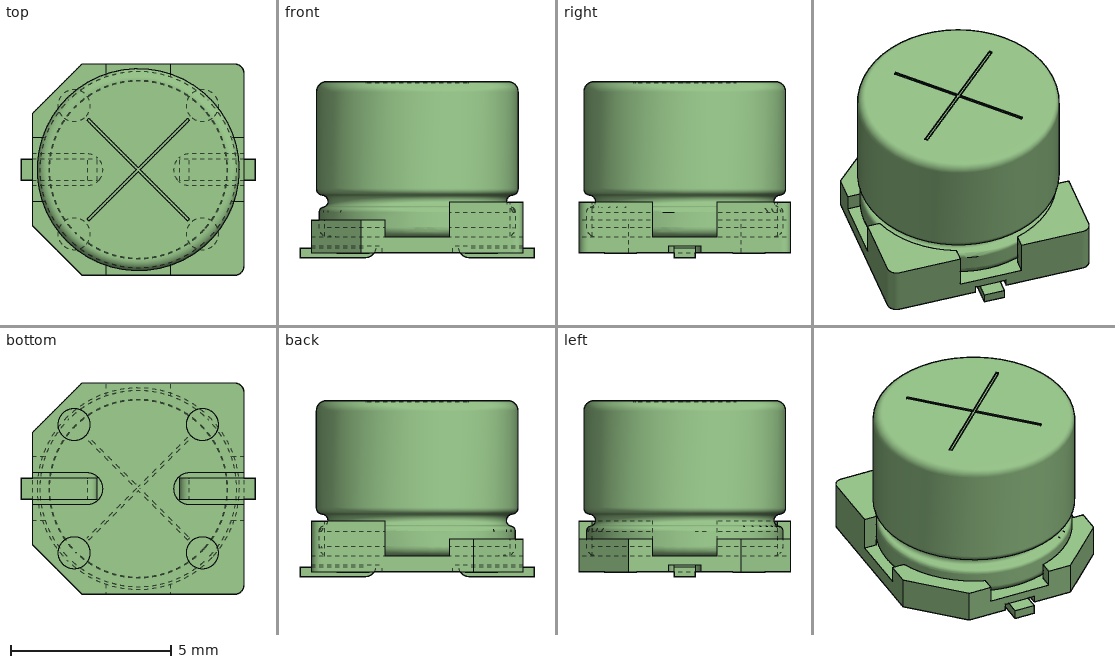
import cadquery as cq
import math

lead_span = 7.3
total_height = 5.5

base_side = 6.6
base_bottom = 0.15
low_top = 1.175
tall_top = 1.74
corner_chamfer = 1.55
corner_radius = 0.3
notch_width = 2.0
seat_height = 0.65

can_diameter = 6.3
can_radius = can_diameter / 2
lower_radius = 3.065
top_round = 0.32
seat_round = 0.3
rim_bottom = 1.95
rim_round = 0.2
neck_radius = 2.79
neck_height = 1.75
shoulder_start = 1.415

cross_arm = 2.22
cross_width = 0.09
cross_depth = 0.045

lead_width = 0.665
lead_thickness = 0.3
lead_inner_x = 1.285
inner_bend = 0.045
slot_width = 1.0
slot_roof = 0.37
slot_center_x = 1.605

pad_diameter = 1.0
pad_height = 0.02
pad_offset = 2.0


def block(x_size, y_size, bottom, top, x_center=0.0):
    height = top - bottom
    return cq.Workplane("XY").box(x_size, y_size, height, (True, True, False)).translate((x_center, 0, bottom))


def make_base():
    base = block(base_side, base_side, base_bottom, tall_top)
    base = base.edges("|Z and <X").chamfer(corner_chamfer)
    base = base.edges("|Z and >X").fillet(corner_radius)

    base = base.cut(block(base_side, base_side, low_top, tall_top, -base_side / 2))

    base = base.cut(block(2 * base_side, notch_width, seat_height, total_height))
    base = base.cut(block(notch_width, 2 * base_side, seat_height, total_height))

    pocket = cq.Workplane("XY").workplane(offset=seat_height).circle(lower_radius).extrude(total_height)
    return base.cut(pocket)


def make_can():
    diagonal = math.sqrt(0.5)
    seat_arc = (
        lower_radius - seat_round * (1 - diagonal),
        seat_height + seat_round * (1 - diagonal),
    )
    rim_arc = (
        can_radius - rim_round * (1 - diagonal),
        rim_bottom + rim_round * (1 - diagonal),
    )
    top_arc = (
        can_radius - top_round * (1 - diagonal),
        total_height - top_round * (1 - diagonal),
    )
    shoulder_middle = (
        (lower_radius + neck_radius) / 2,
        (shoulder_start + neck_height) / 2,
    )
    profile = (
        cq.Workplane("XZ")
        .moveTo(0, seat_height)
        .lineTo(lower_radius - seat_round, seat_height)
        .threePointArc(seat_arc, (lower_radius, seat_height + seat_round))
        .lineTo(lower_radius, shoulder_start)
        .tangentArcPoint(shoulder_middle, relative=False)
        .tangentArcPoint((neck_radius, neck_height), relative=False)
        .tangentArcPoint((can_radius - rim_round, rim_bottom), relative=False)
        .threePointArc(rim_arc, (can_radius, rim_bottom + rim_round))
        .lineTo(can_radius, total_height - top_round)
        .threePointArc(top_arc, (can_radius - top_round, total_height))
        .lineTo(0, total_height)
        .close()
    )
    can = profile.revolve(360, (0, 0, 0), (0, 1, 0))
    for angle in (45, -45):
        groove = block(2 * cross_arm, cross_width, total_height - cross_depth, total_height)
        can = can.cut(groove.rotate((0, 0, 0), (0, 0, 1), angle))
    return can


def make_slot():
    """Slot under the +X side, with a round inner end."""
    straight = block(base_side, slot_width, 0, slot_roof, slot_center_x + base_side / 2)
    round_end = cq.Workplane("XY").center(slot_center_x, 0).circle(slot_width / 2).extrude(slot_roof)
    return straight.union(round_end)


def make_lead():
    """Bent +X lead: a flat foot and a riser that ends at the can seat."""
    foot_length = lead_span / 2 - lead_inner_x
    foot = block(foot_length, lead_width, 0, lead_thickness, lead_inner_x + foot_length / 2)
    riser = block(lead_thickness, lead_width, 0, seat_height, lead_inner_x + lead_thickness / 2)
    lead = foot.union(riser)
    lead = lead.edges("|Y and <X and <Z").fillet(lead_thickness + inner_bend)
    inner_corner = (lead_inner_x + lead_thickness, 0, lead_thickness)
    return lead.edges(cq.NearestToPointSelector(inner_corner)).fillet(inner_bend)


def make_pads():
    pads = cq.Workplane("XY").workplane(offset=base_bottom - pad_height)
    pads = pads.rect(2 * pad_offset, 2 * pad_offset, forConstruction=True).vertices()
    return pads.circle(pad_diameter / 2).extrude(2 * pad_height)


body = make_base().union(make_can()).union(make_pads())
for turn in (0, 180):
    body = body.cut(make_slot().rotate((0, 0, 0), (0, 0, 1), turn))
    body = body.union(make_lead().rotate((0, 0, 0), (0, 0, 1), turn))

result = body